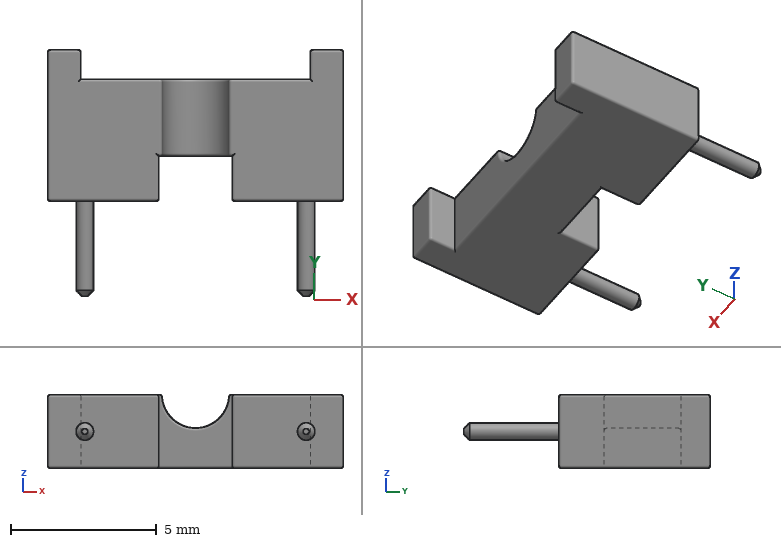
import cadquery as cq

length = 10.16
depth = 5.2
height = 2.54
edge_radius = 0.1

ear_width = 1.15
ear_depth = 1.01

notch_width = 2.51
notch_depth = 1.54
groove_radius = 1.15

pin_diameter = 0.6
pin_length = 3.26
pin_spacing = 7.6
tip_length = 0.2
tip_diameter = 0.2

front_y = -depth / 2
rear_y = depth / 2
recess_y = rear_y - ear_depth
notch_y = front_y + notch_depth
top_z = height / 2


def make_body():
    """Block with a rear recess, a front notch and a groove, with all outside edges rounded."""
    half_outline = [
        (0, notch_y),
        (notch_width / 2, notch_y),
        (notch_width / 2, front_y),
        (length / 2, front_y),
        (length / 2, rear_y),
        (length / 2 - ear_width, rear_y),
        (length / 2 - ear_width, recess_y),
        (0, recess_y),
    ]
    block = (
        cq.Workplane("XY", origin=(0, 0, -top_z))
        .polyline(half_outline)
        .mirrorY()
        .extrude(height)
    )
    groove = (
        cq.Workplane("XZ", origin=(0, rear_y, top_z))
        .circle(groove_radius)
        .extrude(depth)
    )
    body = block.cut(groove)

    inside_corners = [
        (side * x, y)
        for side in (-1, 1)
        for x, y in ((notch_width / 2, notch_y), (length / 2 - ear_width, recess_y))
    ]

    def is_inside_corner(edge):
        center = edge.Center()
        tolerance = edge_radius / 10
        return any(
            abs(center.x - x) < tolerance and abs(center.y - y) < tolerance
            for x, y in inside_corners
        )

    vertical_edges = body.edges("|Z").filter(lambda edge: not is_inside_corner(edge))
    return vertical_edges.add(body.edges("not |Z")).fillet(edge_radius)


def make_pin(x):
    """Round pin with a conical tip, pointing forward from the body's front face."""
    shank_end = pin_length - tip_length
    return (
        cq.Workplane("XY", origin=(x, front_y, 0))
        .lineTo(pin_diameter / 2, 0)
        .lineTo(pin_diameter / 2, -shank_end)
        .lineTo(tip_diameter / 2, -pin_length)
        .lineTo(0, -pin_length)
        .close()
        .revolve(360, (0, 0, 0), (0, 1, 0))
    )


result = make_body()
for side in (-1, 1):
    result = result.union(make_pin(side * pin_spacing / 2))